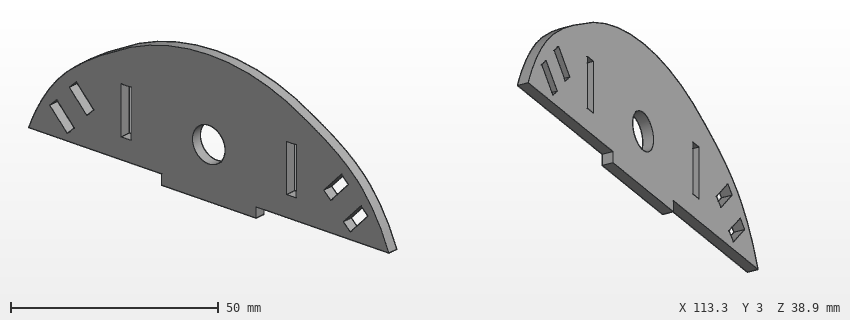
import cadquery as cq
import math

plate_thickness = 3.0
plate_width = 113.28
plate_height = 38.9
tab_width = 29.8
tab_height = 3.0

crown_radius = 60.0
crown_half_width = 24.6
flat_end = (25.3, 33.25)
shoulder_points = [(36.25, 27.35), (47.5, 18.45), (52.5, 11.6)]

hole_diameter = 10.2
hole_height = 15.1
upright_slot_spacing = 52.0
upright_slot_width = 3.0
upright_slot_length = 14.0
upright_slot_height = 16.1
tilted_slot_width = 3.0
tilted_slot_length = 8.0
tilted_slot_angle = 46.5
tilted_slot_centers = [(40.0, 15.55), (46.15, 9.0)]


def crown_z(x):
    """Height of the crown arc at a distance x from the centre line."""
    return plate_height - crown_radius + math.sqrt(crown_radius**2 - x**2)


def mirrored(point):
    x, z = point
    return (-x, z)


def back_plane():
    """Sketch plane on the back face of the plate; extruding runs toward -Y."""
    return cq.Workplane("XZ", origin=(0, plate_thickness / 2, 0))


def make_plate():
    half_width = plate_width / 2
    half_tab = tab_width / 2
    crown_end = (crown_half_width, crown_z(crown_half_width))
    crown_mid = (crown_half_width / 2, crown_z(crown_half_width / 2))
    apex = (0, plate_height)
    corner = (half_width, tab_height)
    left_shoulder = [mirrored(point) for point in shoulder_points]

    outline = (
        back_plane()
        .moveTo(-half_tab, 0)
        .lineTo(half_tab, 0)
        .lineTo(half_tab, tab_height)
        .lineTo(*corner)
        .spline([*reversed(shoulder_points), flat_end], includeCurrent=True)
        .lineTo(*crown_end)
        .threePointArc(crown_mid, apex)
        .threePointArc(mirrored(crown_mid), mirrored(crown_end))
        .lineTo(*mirrored(flat_end))
        .spline([*left_shoulder, mirrored(corner)], includeCurrent=True)
        .lineTo(-half_tab, tab_height)
        .close()
    )
    return outline.extrude(plate_thickness)


def slot_cutter(center, width, length, angle):
    """Rectangular bar through the plate, its length turned by angle from the X axis."""
    x, z = center
    bar = back_plane().rect(length, width).extrude(plate_thickness)
    return bar.rotate((0, 0, 0), (0, 1, 0), -angle).translate((x, 0, z))


def hole_cutter():
    circle = back_plane().center(0, hole_height).circle(hole_diameter / 2)
    return circle.extrude(plate_thickness)


result = make_plate().cut(hole_cutter())

for side in (-1, 1):
    upright_center = (side * upright_slot_spacing / 2, upright_slot_height)
    result = result.cut(slot_cutter(upright_center, upright_slot_width, upright_slot_length, 90))
    for x, z in tilted_slot_centers:
        tilt = side * tilted_slot_angle
        result = result.cut(slot_cutter((side * x, z), tilted_slot_width, tilted_slot_length, tilt))